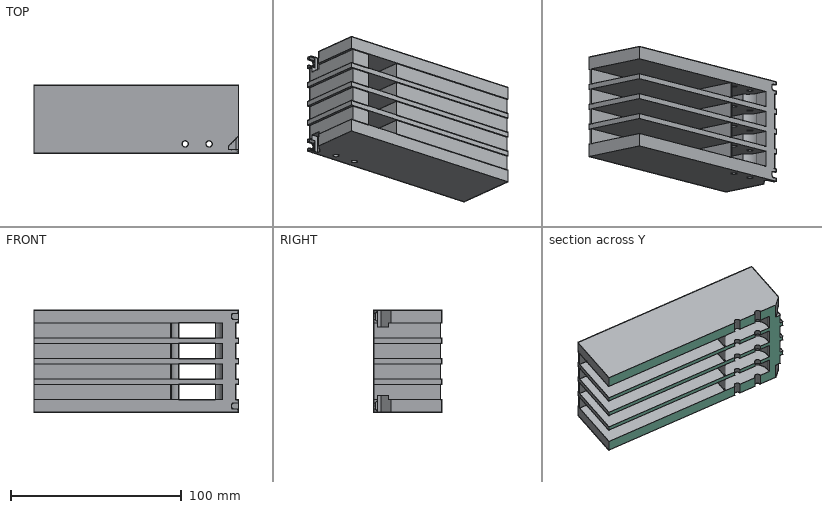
import cadquery as cq

LENGTH = 120.0
DEPTH = 40.0
HEIGHT = 60.0

BAY_COUNT = 4
BAY_HEIGHT = 9.0
SHELF_THICKNESS = 3.0
SLAB_THICKNESS = (HEIGHT - BAY_COUNT * BAY_HEIGHT - (BAY_COUNT - 1) * SHELF_THICKNESS) / 2

BACK_SETBACK = 0.75
END_SETBACK = 1.6
POCKET_LENGTH = 80.0
POCKET_DEPTH = 38.0
PARTITION_THICKNESS = 0.75

MOUTH_START = POCKET_LENGTH + PARTITION_THICKNESS
MOUTH_WIDTH = 29.85
THROAT_WIDTH = 21.4
MOUTH_STRAIGHT_DEPTH = 7.5
SHOULDER_RADIUS = 7.5

HOLE_DIAMETER = 3.5
HOLE_SPACING = 14.0
HOLE_Y = 5.5

LIP_THICKNESS = 2.2
LIP_SETBACK = 0.2
CLIP_LENGTH = 6.0
CLIP_SIDE_DEPTH = 2.0
CLIP_DEPTH = 10.0
SLOT_LENGTH = 4.1
SLOT_HEIGHT = 3.7
SLOT_CORNER_RADIUS = 1.5
SLOT_FLARE = 1.2
SLOT_EDGE_RADIUS = 0.6
HOOK_RADIUS = 0.9

SLOT_BOTTOM = (SLAB_THICKNESS - SLOT_HEIGHT) / 2
COMPARTMENT_CENTER = MOUTH_START + MOUTH_WIDTH / 2
BAY_FLOORS = [SLAB_THICKNESS + i * (BAY_HEIGHT + SHELF_THICKNESS) for i in range(BAY_COUNT)]


def box(x_size, y_size, z_size, x, y, z):
    """Box with its lowest corner at (x, y, z)."""
    return cq.Workplane("XY").box(x_size, y_size, z_size, centered=False).translate((x, y, z))


def compartment(floor):
    """Opening through the depth of one bay, narrowed by a rounded shoulder on each side."""
    inset = (MOUTH_WIDTH - THROAT_WIDTH) / 2
    across = SHOULDER_RADIUS - inset
    shoulder_depth = (SHOULDER_RADIUS**2 - across**2) ** 0.5
    half_turn_cos = ((1 + across / SHOULDER_RADIUS) / 2) ** 0.5
    half_turn_sin = ((1 - across / SHOULDER_RADIUS) / 2) ** 0.5
    mouth = MOUTH_WIDTH / 2
    throat = THROAT_WIDTH / 2
    middle = mouth - SHOULDER_RADIUS * (1 - half_turn_cos)
    middle_y = MOUTH_STRAIGHT_DEPTH + SHOULDER_RADIUS * half_turn_sin
    throat_y = MOUTH_STRAIGHT_DEPTH + shoulder_depth
    return (
        cq.Workplane("XY", origin=(COMPARTMENT_CENTER, 0, floor))
        .moveTo(-mouth, 0)
        .lineTo(mouth, 0)
        .lineTo(mouth, MOUTH_STRAIGHT_DEPTH)
        .threePointArc((middle, middle_y), (throat, throat_y))
        .lineTo(throat, DEPTH)
        .lineTo(-throat, DEPTH)
        .lineTo(-throat, throat_y)
        .threePointArc((-middle, middle_y), (-mouth, MOUTH_STRAIGHT_DEPTH))
        .close()
        .extrude(BAY_HEIGHT)
    )


def cut_bay(body, floor):
    """Cut the pocket, the through compartment and the wall setbacks of one bay."""
    pocket = box(POCKET_LENGTH, POCKET_DEPTH, BAY_HEIGHT, 0, 0, floor)
    back = box(LENGTH, BACK_SETBACK, BAY_HEIGHT, 0, DEPTH - BACK_SETBACK, floor)
    end = box(END_SETBACK, DEPTH, BAY_HEIGHT, LENGTH - END_SETBACK, 0, floor)
    return body.cut(pocket).cut(back).cut(end).cut(compartment(floor))


def cut_holes(body):
    """Drill the two vertical holes on either side of the compartment centre."""
    holes = (
        cq.Workplane("XY")
        .pushPoints([(COMPARTMENT_CENTER + side * HOLE_SPACING / 2, HOLE_Y) for side in (-1, 1)])
        .circle(HOLE_DIAMETER / 2)
        .extrude(HEIGHT)
    )
    return body.cut(holes)


def clip_hollow():
    """Hollow behind the front lip, open at the bottom face and at the +X end."""
    inner_x = LENGTH - CLIP_LENGTH
    side_y = LIP_THICKNESS + CLIP_SIDE_DEPTH
    return (
        cq.Workplane("XY")
        .moveTo(inner_x, LIP_THICKNESS)
        .lineTo(LENGTH, LIP_THICKNESS)
        .lineTo(LENGTH, side_y + CLIP_LENGTH)
        .lineTo(inner_x, side_y)
        .close()
        .extrude(CLIP_DEPTH)
    )


def clip_slot():
    """U-shaped slot running in from the lip end."""
    slot = box(SLOT_LENGTH, LIP_THICKNESS, SLOT_HEIGHT, LENGTH - SLOT_LENGTH, 0, SLOT_BOTTOM)
    return slot.edges("|Y and <X").fillet(SLOT_CORNER_RADIUS)


def slot_flare():
    """Bevels that widen the slot in height towards the hollow behind the lip."""
    slot_top = SLOT_BOTTOM + SLOT_HEIGHT
    return (
        cq.Workplane("YZ", origin=(LENGTH - SLOT_LENGTH, 0, 0))
        .moveTo(LIP_THICKNESS - SLOT_FLARE, SLOT_BOTTOM)
        .lineTo(LIP_THICKNESS, SLOT_BOTTOM - SLOT_FLARE)
        .lineTo(LIP_THICKNESS, slot_top + SLOT_FLARE)
        .lineTo(LIP_THICKNESS - SLOT_FLARE, slot_top)
        .close()
        .extrude(SLOT_LENGTH)
    )


def round_lip_edge(body, z, radius):
    """Round the edge that crosses the lip end at height z."""
    edge_point = (LENGTH - LIP_SETBACK, LIP_THICKNESS / 2, z)
    edges = body.edges("|Y").edges(cq.selectors.NearestToPointSelector(edge_point))
    return edges.fillet(radius)


def cut_clip(body):
    """Form the clip of the bottom slab: hollow, shortened lip and hooked slot."""
    lip_end = box(LIP_SETBACK, LIP_THICKNESS, SLAB_THICKNESS, LENGTH - LIP_SETBACK, 0, 0)
    body = body.cut(clip_hollow()).cut(lip_end).cut(clip_slot())
    body = round_lip_edge(body, SLOT_BOTTOM, SLOT_EDGE_RADIUS)
    return body.cut(slot_flare())


result = box(LENGTH, DEPTH, HEIGHT, 0, 0, 0)
for bay_floor in BAY_FLOORS:
    result = cut_bay(result, bay_floor)
result = cut_holes(result)

for _ in range(2):
    result = cut_clip(result)
    result = result.mirror("XY").translate((0, 0, HEIGHT))
result = round_lip_edge(result, HEIGHT, HOOK_RADIUS)